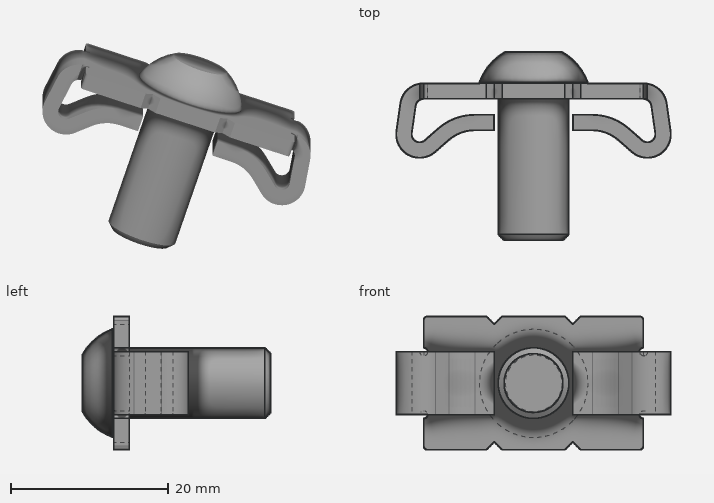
import cadquery as cq
import math

sheet = 2.0
plate_width = 28.0
plate_height = 17.0
corner_radius = 0.5
notch_offset = 5.0
notch_depth = 1.0
relief_radius = 0.5

arm_height = 8.0
bend_radius = 1.0
loop_x = 14.5
loop_y = -6.5
tip_radius = 5.0
tip_bend_x = 7.5
tip_end_x = 5.0
root_overlap = 2.0
tip_gap = 2.0

shank_diameter = 9.0
shank_length = 20.0
shank_chamfer = 0.75
head_diameter = 13.8
head_height = 4.0
head_rim_height = 0.15
head_flat_diameter = 7.2


def make_plate():
    """Plate with rounded corners and V notches."""
    half_height = plate_height / 2
    plate = (
        cq.Workplane("XZ")
        .rect(plate_width, plate_height)
        .extrude(sheet)
        .edges("|Y")
        .fillet(corner_radius)
    )
    for side in (-1, 1):
        for x in (-notch_offset, notch_offset):
            notch = (
                cq.Workplane("XZ")
                .moveTo(x - notch_depth, side * half_height)
                .lineTo(x, side * (half_height - notch_depth))
                .lineTo(x + notch_depth, side * half_height)
                .close()
                .extrude(sheet)
            )
            plate = plate.cut(notch)
    return plate


def make_arm():
    """Right-hand spring arm: root bend, sloping wall, loop, ramp and flat tip."""
    half_sheet = sheet / 2
    bend_mid = bend_radius + half_sheet
    tip_mid = tip_radius + half_sheet
    root_center = (plate_width / 2, -half_sheet - bend_mid)
    loop_center = (loop_x, loop_y)
    tip_center = (tip_bend_x, -sheet - tip_gap - half_sheet - tip_mid)

    wall_angle = math.atan2(loop_center[0] - root_center[0], root_center[1] - loop_center[1])
    rise = loop_center[1] - tip_center[1]
    run = loop_center[0] - tip_center[0]
    ramp_angle = math.asin((bend_mid + tip_mid) / math.hypot(run, rise)) - math.atan2(rise, run)

    top = math.pi / 2
    loop_end = -top - ramp_angle
    ramp_start = top - ramp_angle

    def on_arc(center, radius, angle):
        return (center[0] + radius * math.cos(angle), center[1] + radius * math.sin(angle))

    def bend(center, radius, start, end):
        """Start, middle and end points of an arc."""
        return [on_arc(center, radius, angle) for angle in (start, (start + end) / 2, end)]

    def bends(offset):
        """Three bends of the sheet surface lying at the given offset from its middle."""
        return [
            bend(root_center, bend_mid + offset, top, wall_angle),
            bend(loop_center, bend_mid + offset, wall_angle, loop_end),
            bend(tip_center, tip_mid - offset, ramp_start, top),
        ]

    root_x = plate_width / 2 - root_overlap
    tip_back_y = -sheet - tip_gap
    profile = cq.Workplane("XY").moveTo(root_x, 0)
    for start, middle, end in bends(half_sheet):
        profile = profile.lineTo(*start).threePointArc(middle, end)
    profile = profile.lineTo(tip_end_x, tip_back_y - sheet).lineTo(tip_end_x, tip_back_y)
    for start, middle, end in reversed(bends(-half_sheet)):
        profile = profile.lineTo(*end).threePointArc(middle, start)
    return profile.lineTo(root_x, -sheet).close().extrude(arm_height / 2, both=True)


def make_reliefs():
    """Round bend reliefs through the sheet, centred where the arm edges meet the plate ends."""
    return (
        cq.Workplane("XZ")
        .rect(plate_width, arm_height, forConstruction=True)
        .vertices()
        .circle(relief_radius)
        .extrude(sheet)
    )


def make_screw():
    """Shank with chamfered end and a flattened spherical head, revolved about Y."""
    shank_radius = shank_diameter / 2
    head_radius = head_diameter / 2
    flat_radius = head_flat_diameter / 2
    dome_height = head_height - head_rim_height
    sphere_y = head_rim_height + (flat_radius**2 + dome_height**2 - head_radius**2) / (2 * dome_height)
    sphere_radius = math.hypot(flat_radius, head_height - sphere_y)
    mid_y = (head_rim_height + head_height) / 2
    mid_radius = math.sqrt(sphere_radius**2 - (mid_y - sphere_y) ** 2)
    return (
        cq.Workplane("XY")
        .moveTo(0, -shank_length)
        .lineTo(shank_radius - shank_chamfer, -shank_length)
        .lineTo(shank_radius, -shank_length + shank_chamfer)
        .lineTo(shank_radius, 0)
        .lineTo(head_radius, 0)
        .lineTo(head_radius, head_rim_height)
        .threePointArc((mid_radius, mid_y), (flat_radius, head_height))
        .lineTo(0, head_height)
        .close()
        .revolve(360, (0, 0, 0), (0, 1, 0))
    )


right_arm = make_arm()
left_arm = right_arm.mirror("YZ")
clip = make_plate().union(right_arm).union(left_arm).cut(make_reliefs())
result = clip.union(make_screw())